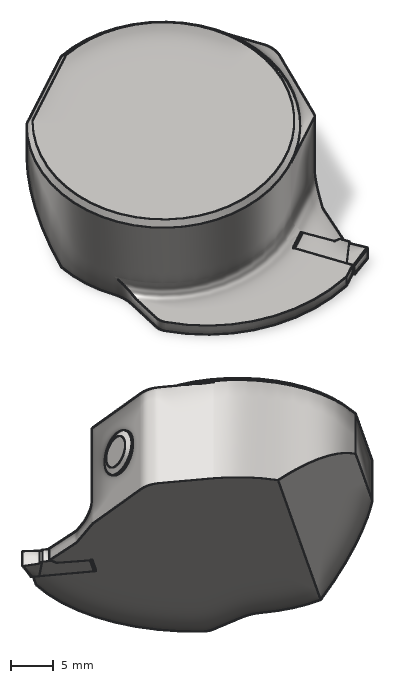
import cadquery as cq
import math

shank_radius = 16.0
shank_height = 13.8
flat_x = -15.0
top_chamfer = 0.7
heel_chamfer = 7.67

plate_thickness = 1.62
root_fillet = 1.6
root_top = plate_thickness + root_fillet
plate_end_x = 24.85
plate_end_y = -4.9
plate_arc_middle = (19.4, -13.45)
plate_corner = (6.9, -19.2)
plate_corner_radius = 2.0
flank_angle = math.radians(30)
flank_blend_radius = 5.0

shoulder_height = 12.95
diagonal_distance = 16.85
diagonal_sum = diagonal_distance * math.sqrt(2)
shoulder_corner_radius = 3.45
throat_start_x = 15.85
throat_corner = (18.45, 3.98)
throat_blend_radius = 2.05
throat_tip = (22.35, 0.4)

boss_diameter = 5.5
boss_crown_diameter = 3.85
boss_rim_height = 0.25
boss_height = 0.55

insert_back_x = 17.38
insert_back_y = -0.4
hump_start = (21.55, -0.3)
hump_left_x = 22.05
hump_right_x = 23.15
hump_end_x = 23.55
hump_height = 0.3
insert_height = 3.0
insert_bottom_y = -insert_height
tip_x = 25.6
front_relief_angle = math.radians(10)
front_relief = insert_height * math.tan(front_relief_angle)
edge_width = 2.05
head_back_x = 23.25
head_back_lean = 0.85
head_neck_width = 1.7
head_foot_width = 1.65
edge_chamfer = 0.12
back_chamfer = 0.25


def make_shank():
    """Cylinder with one flat, a chamfered top rim and a sloping heel."""
    shank = cq.Workplane("XY").circle(shank_radius).extrude(shank_height)
    length = shank_radius - flat_x
    keep = cq.Workplane("XY").box(length, 2 * shank_radius, shank_height, centered=(False, True, False))
    shank = shank.intersect(keep.translate((flat_x, 0, 0)))
    shank = shank.faces(">Z").edges().chamfer(top_chamfer)
    heel = (
        cq.Workplane("XZ")
        .polyline([(flat_x, 0), (flat_x + heel_chamfer, 0), (flat_x, heel_chamfer)])
        .close()
        .extrude(shank_radius, both=True)
    )
    return shank.cut(heel)


def make_foot(height):
    """Prism over the +X side outline of the shoulder, throat and support plate."""
    blend_end = (
        flank_blend_radius * math.sin(flank_angle),
        -shank_radius - flank_blend_radius * (1 - math.cos(flank_angle)),
    )
    blend_middle = (
        flank_blend_radius * math.sin(flank_angle / 2),
        -shank_radius - flank_blend_radius * (1 - math.cos(flank_angle / 2)),
    )
    shoulder_corner = (diagonal_sum - shank_radius, shank_radius)
    throat_start = (throat_start_x, diagonal_sum - throat_start_x)
    foot = (
        cq.Workplane("XY")
        .moveTo(0, shank_radius)
        .lineTo(*shoulder_corner)
        .lineTo(*throat_start)
        .lineTo(*throat_corner)
        .lineTo(*throat_tip)
        .lineTo(throat_tip[0], insert_bottom_y)
        .lineTo(plate_end_x, insert_bottom_y)
        .lineTo(plate_end_x, plate_end_y)
        .threePointArc(plate_arc_middle, plate_corner)
        .lineTo(*blend_end)
        .threePointArc(blend_middle, (0, -shank_radius))
        .close()
        .extrude(height)
    )
    rounded_corners = [
        (shoulder_corner, shoulder_corner_radius),
        (throat_start, throat_blend_radius),
        (throat_corner, throat_blend_radius),
        (plate_corner, plate_corner_radius),
    ]
    for corner, radius in rounded_corners:
        edge = cq.selectors.NearestToPointSelector((*corner, height / 2))
        foot = foot.edges("|Z").edges(edge).fillet(radius)
    return foot


def make_shoulder():
    """Block between the shank and the 45-degree face."""
    block = cq.Workplane("XY").box(shank_radius, shank_radius, shoulder_height, centered=False)
    return make_foot(shoulder_height).intersect(block)


def root_profile():
    """Section of the root fillet, from the shank axis outwards."""
    outer = shank_radius + root_fillet
    sag = root_fillet * (1 - math.sqrt(0.5))
    return (
        cq.Workplane("XZ")
        .lineTo(outer, 0)
        .lineTo(outer, plate_thickness)
        .threePointArc((shank_radius + sag, plate_thickness + sag), (shank_radius, root_top))
        .lineTo(0, root_top)
        .close()
    )


def make_root():
    """Fillet between shank and plate: round below the X axis, straight above it."""
    round_part = root_profile().revolve(360, (0, 0, 0), (0, 1, 0))
    straight_part = root_profile().extrude(-shank_radius)
    return make_foot(root_top).intersect(round_part.union(straight_part))


def make_boss():
    """Low round boss with a conical rim on the 45-degree face."""
    section = [
        (0, -boss_rim_height),
        (boss_diameter / 2, -boss_rim_height),
        (boss_diameter / 2, boss_rim_height),
        (boss_crown_diameter / 2, boss_height),
        (0, boss_height),
    ]
    boss = cq.Workplane("XZ").polyline(section).close().revolve(360, (0, 0, 0), (0, 1, 0))
    boss = boss.rotate((0, 0, 0), (0, 1, 0), 90)
    boss = boss.translate((diagonal_distance, 0, shank_height / 2))
    return boss.rotate((0, 0, 0), (0, 0, 1), 45)


def insert_blank(height):
    """Flat insert plate with a small hump behind the cutting edge."""
    outline = [
        (insert_back_x, insert_bottom_y),
        (insert_back_x, insert_back_y),
        hump_start,
        (hump_left_x, hump_height),
        (hump_right_x, hump_height),
        (hump_end_x, 0),
        (tip_x, 0),
        (tip_x - front_relief, insert_bottom_y),
    ]
    return cq.Workplane("XY").polyline(outline).close().extrude(height)


def make_head():
    """Widened cutting head, narrowing downwards and towards the back."""

    def section(depth, front_shift, back_shift, front_width, neck_width):
        front = tip_x - front_shift
        half = [
            (head_back_x + back_shift, neck_width / 2),
            (front - edge_chamfer, front_width / 2),
            (front, front_width / 2 - edge_chamfer),
        ]
        mirrored = [(x, -z) for x, z in reversed(half)]
        points = [cq.Vector(x, -depth, z + plate_thickness / 2) for x, z in half + mirrored]
        return cq.Wire.makePolygon(points, close=True)

    edge = section(0, 0, 0, edge_width, head_neck_width)
    foot = section(insert_height, front_relief, head_back_lean, head_foot_width, head_foot_width)
    return cq.Workplane(cq.Solid.makeLoft([edge, foot], True))


def make_insert():
    """Insert blank with bevelled back edges, joined with the cutting head."""
    blank = insert_blank(plate_thickness).faces("<X").edges("|Y").chamfer(back_chamfer)
    return blank.union(make_head())


def make_holder():
    holder = make_shank().union(make_shoulder()).union(make_foot(plate_thickness))
    holder = holder.union(make_root()).union(make_boss())
    return holder.cut(insert_blank(root_top)).cut(make_insert())


holder = make_holder()
insert = make_insert()

result = cq.Compound.makeCompound([holder.val(), insert.val()])